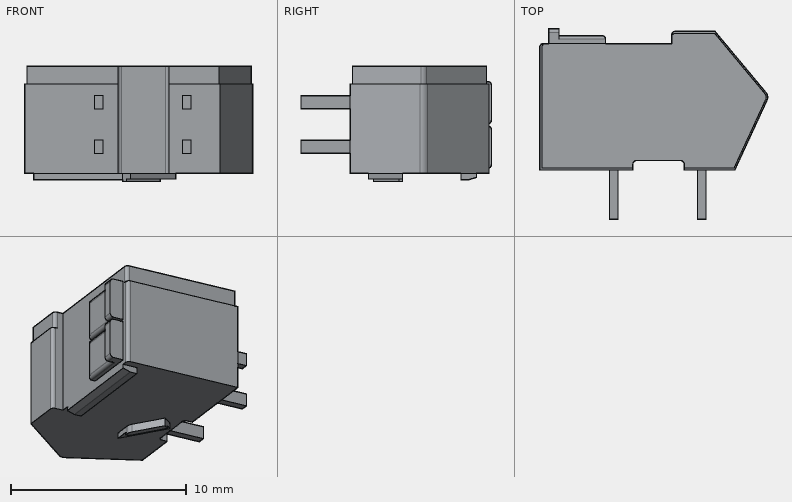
import cadquery as cq
import math

length = 13.0
height = 6.1
lid_height = 1.0
lid_inset = 0.13
lid_nose_inset = 0.09
back_y = 7.22
edge_radius = 0.21

head_left = 7.51
head_back = 7.92
nose_y = 4.16
nose_radius = 0.39
nose_low_angle = 65.2
nose_high_angle = 50.2

groove_left = 5.32
groove_width = 2.91
groove_depth = 0.55

pin_width = 0.5
pin_height = 0.75
pin_length = 2.8
pin_x = 4.22
pin_z = 1.51
pin_pitch_x = 5.0
pin_pitch_z = 2.54
columns = 2
rows = 2

lever_left = 0.51
lever_tall_width = 0.6
lever_tall_depth = 0.85
lever_right = 3.76
lever_low_depth = 0.45
lever_height = 2.4
lever_bottom = 0.29

rib_margin = 0.51
rib_width = 0.9
rib_height = 0.38
rib_tip_height = 0.23
rib_flat = 0.43

hook_x = 6.03
hook_y = 1.04
hook_angle = 37.0
hook_width = 0.74
hook_back = 2.99
hook_base_height = 0.34
hook_height = 0.48
hook_foot_right = 7.74
hook_corner_radius = 0.65


def housing_prism(inset, nose_inset, bottom, top):
    """Housing block; the back wall and the head's left side stay put at any inset."""
    low = math.radians(nose_low_angle)
    high = math.radians(nose_high_angle)
    front = inset
    head = head_back - inset
    radius = nose_radius - nose_inset
    center_x = length - nose_radius
    low_x = center_x + radius * math.sin(low)
    low_y = nose_y - radius * math.cos(low)
    high_x = center_x + radius * math.sin(high)
    high_y = nose_y + radius * math.cos(high)
    prism = (
        cq.Workplane("XY", origin=(0, 0, bottom))
        .moveTo(inset, front)
        .lineTo(low_x - (low_y - front) / math.tan(low), front)
        .lineTo(low_x, low_y)
        .threePointArc((center_x + radius, nose_y), (high_x, high_y))
        .lineTo(high_x - (head - high_y) / math.tan(high), head)
        .lineTo(head_left, head)
        .lineTo(head_left, back_y)
        .lineTo(inset, back_y)
        .close()
        .extrude(top - bottom)
    )
    rounded_corners = [(inset, back_y), (head_left, head)]
    for x, y in rounded_corners:
        prism = prism.edges(cq.NearestToPointSelector((x, y, (bottom + top) / 2))).fillet(edge_radius)
    return prism


def block(x, y, z, dx, dy, dz):
    """Box placed by its lowest corner."""
    return cq.Workplane("XY").box(dx, dy, dz, centered=False).translate((x, y, z))


def front_groove():
    groove = block(groove_left, 0, 0, groove_width, groove_depth, height)
    return groove.edges("|Z and >Y").fillet(edge_radius)


def pin(x, z):
    return block(x - pin_width / 2, -pin_length, z - pin_height / 2, pin_width, pin_length, pin_height)


def lever(z):
    tall = block(lever_left, back_y, z, lever_tall_width, lever_tall_depth, lever_height)
    tall = tall.edges("|X and >Y").fillet(edge_radius)
    low = block(lever_left, back_y, z, lever_right - lever_left, lever_low_depth, lever_height)
    low = low.edges("(|X and >Y) or (|Z and >X and >Y)").fillet(edge_radius)
    return tall.union(low)


def back_rib():
    rib_length = head_left - 2 * rib_margin
    flat_end = back_y - rib_width + rib_flat
    return (
        cq.Workplane("YZ", origin=(rib_margin, 0, 0))
        .moveTo(back_y - rib_width, 0)
        .lineTo(back_y - rib_width, -rib_height)
        .lineTo(flat_end, -rib_height)
        .lineTo(back_y, -rib_tip_height)
        .lineTo(back_y, 0)
        .close()
        .extrude(rib_length)
    )


def hook_layer(offset, depth):
    """Slanted bar cut off at hook_back; the offset moves its front side toward its back side."""
    angle = math.radians(hook_angle)
    front_x = hook_x - offset * math.sin(angle)
    front_y = hook_y + offset * math.cos(angle)
    tip_x = hook_x - hook_width * math.sin(angle)
    tip_y = hook_y + hook_width * math.cos(angle)
    corner_x = tip_x + (hook_back - tip_y) / math.tan(angle)
    layer = (
        cq.Workplane("XY")
        .moveTo(front_x, front_y)
        .lineTo(front_x + (hook_back - front_y) / math.tan(angle), hook_back)
        .lineTo(corner_x, hook_back)
        .lineTo(tip_x, tip_y)
        .close()
        .extrude(-depth)
    )
    corner = cq.NearestToPointSelector((corner_x, hook_back, -depth / 2))
    return layer.edges(corner).fillet(hook_corner_radius)


def hook():
    base = hook_layer(0, hook_base_height)
    foot = hook_layer(hook_width / 2, hook_height)
    foot_limit = block(0, 0, -hook_height, hook_foot_right, hook_back, hook_height)
    return base.union(foot.intersect(foot_limit))


result = housing_prism(0, 0, 0, height - lid_height)
result = result.union(housing_prism(lid_inset, lid_nose_inset, height - lid_height, height))
result = result.cut(front_groove())

for column in range(columns):
    for row in range(rows):
        result = result.union(pin(pin_x + column * pin_pitch_x, pin_z + row * pin_pitch_z))

for row in range(rows):
    result = result.union(lever(lever_bottom + row * pin_pitch_z))

result = result.union(back_rib()).union(hook())